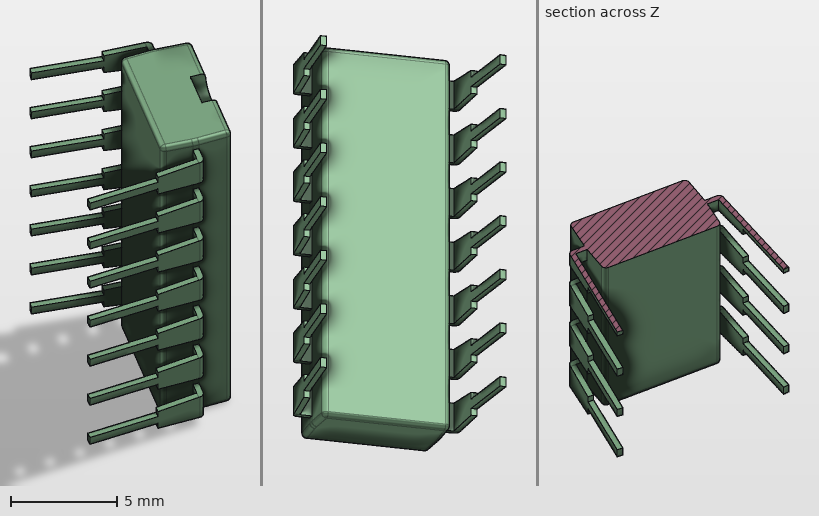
import cadquery as cq
import math

body_length = 18.42
body_depth = 3.48
band_width = 6.44
face_width = 6.28
edge_radius = 0.25

notch_radius = 0.88
notch_depth = 0.75

leads_per_row = 7
lead_pitch = 2.67
lead_thickness = 0.3
lead_drop = 1.65
overall_width = 9.17
overall_depth = 7.5
splay_angle = 5.0
bend_radius = 0.25
lead_embed = 0.5

root_width = 1.39
shoulder_width = 1.14
tip_width = 0.47
shoulder_depth = 4.02

back_y = body_depth / 2
lead_top_y = back_y - lead_drop
lead_bottom_y = lead_top_y - lead_thickness
tip_y = back_y - overall_depth
shoulder_y = back_y - shoulder_depth
end_z = body_length / 2


def make_body():
    """Rounded block whose sides taper slightly from the parting bands."""
    band_x = band_width / 2
    face_x = face_width / 2
    outline = [
        (-face_x, back_y),
        (face_x, back_y),
        (band_x, lead_top_y),
        (band_x, lead_bottom_y),
        (face_x, -back_y),
        (-face_x, -back_y),
        (-band_x, lead_bottom_y),
        (-band_x, lead_top_y),
    ]
    block = cq.Workplane("XY").polyline(outline).close().extrude(end_z, both=True)
    long_corners = block.edges("|Z").edges(">Y or <Y")
    end_edges = block.edges(">Z or <Z")
    return block.newObject(long_corners.vals() + end_edges.vals()).fillet(edge_radius)


def make_notch():
    """Cutter for the index notch."""
    return (
        cq.Workplane("XZ", origin=(0, back_y, end_z))
        .circle(notch_radius)
        .extrude(notch_depth)
    )


def make_lead():
    """One +X lead at Z = 0: a bent strip trimmed to its stepped width."""
    lean = math.radians(splay_angle)
    run_out = math.tan(lean)
    outer_tip_x = overall_width / 2
    inner_tip_x = outer_tip_x - lead_thickness * math.cos(lean)
    outer_tip_y = tip_y + lead_thickness * math.sin(lean)
    outer_corner_x = outer_tip_x - (lead_top_y - outer_tip_y) * run_out
    inner_corner_x = inner_tip_x - (lead_bottom_y - tip_y) * run_out
    start_x = band_width / 2 - lead_embed

    setback = bend_radius * math.tan((math.pi / 2 - lean) / 2)
    arc_start = (outer_corner_x - setback, lead_top_y)
    arc_end = (outer_corner_x + setback * math.sin(lean), lead_top_y - setback * math.cos(lean))
    strip = (
        cq.Workplane("XY")
        .moveTo(start_x, lead_bottom_y)
        .lineTo(start_x, lead_top_y)
        .lineTo(*arc_start)
        .tangentArcPoint(arc_end, relative=False)
        .lineTo(outer_tip_x, outer_tip_y)
        .lineTo(inner_tip_x, tip_y)
        .lineTo(inner_corner_x, lead_bottom_y)
        .close()
        .extrude(root_width / 2, both=True)
    )

    positive_side = [
        (lead_top_y, root_width / 2),
        (lead_bottom_y, root_width / 2),
        (shoulder_y, shoulder_width / 2),
        (shoulder_y, tip_width / 2),
        (tip_y, tip_width / 2),
    ]
    negative_side = [(y, -z) for y, z in reversed(positive_side)]
    width_envelope = (
        cq.Workplane("YZ")
        .polyline(positive_side + negative_side)
        .close()
        .extrude(overall_width)
    )
    return strip.intersect(width_envelope)


result = make_body().cut(make_notch())
right_lead = make_lead()
left_lead = right_lead.mirror("YZ")
for index in range(leads_per_row):
    lead_z = (index - (leads_per_row - 1) / 2) * lead_pitch
    result = result.union(right_lead.translate((0, 0, lead_z)))
    result = result.union(left_lead.translate((0, 0, lead_z)))